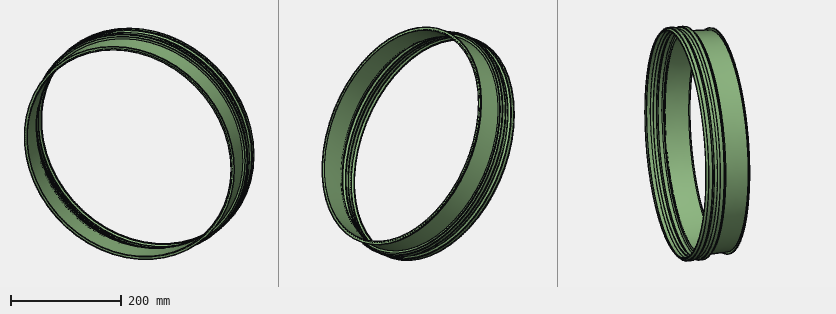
import cadquery as cq

total_length = 83.0
ring_diameter = 426.0
groove_diameter = 417.5
lip_diameter = 413.0
mouth_bore = 400.5
skirt_root_bore = 405.5
wall = 2.0
lip_thickness = 2.0

ring_pitch = 21.7
ring_width = 15.8

ring_radius = ring_diameter / 2
groove_radius = groove_diameter / 2
mouth_radius = mouth_bore / 2
root_radius = skirt_root_bore / 2
chamfer = ring_radius - groove_radius
mouth_y = -total_length / 2
back_y = total_length / 2
lip_y = mouth_y + lip_thickness
front_ring_y = back_y - ring_pitch - ring_width
back_ring_y = front_ring_y + ring_pitch
shoulder_y = front_ring_y + wall


def ring_profile(start_y, inset):
    """Trapezoid outline of one raised ring, moved inward by the wall inset."""
    low = groove_radius - inset
    high = ring_radius - inset
    return [
        (low, start_y),
        (high, start_y + chamfer),
        (high, start_y + ring_width - chamfer),
        (low, start_y + ring_width),
    ]


def shell_profile():
    """Closed half-section: outer side from mouth to back, then the inner side."""
    outer = [
        (lip_diameter / 2, mouth_y),
        (lip_diameter / 2, lip_y),
        (mouth_radius + wall, lip_y),
        (root_radius + wall, front_ring_y),
    ]
    outer += ring_profile(front_ring_y, 0)
    outer += ring_profile(back_ring_y, 0)

    inner = [(mouth_radius, mouth_y), (root_radius, shoulder_y)]
    front_inner = ring_profile(front_ring_y, wall)
    front_inner[0] = (groove_radius, shoulder_y)
    inner += front_inner
    inner += ring_profile(back_ring_y, wall)
    return outer + inner[::-1]


result = cq.Workplane("XY").polyline(shell_profile()).close().revolve(360, (0, 0, 0), (0, 1, 0))